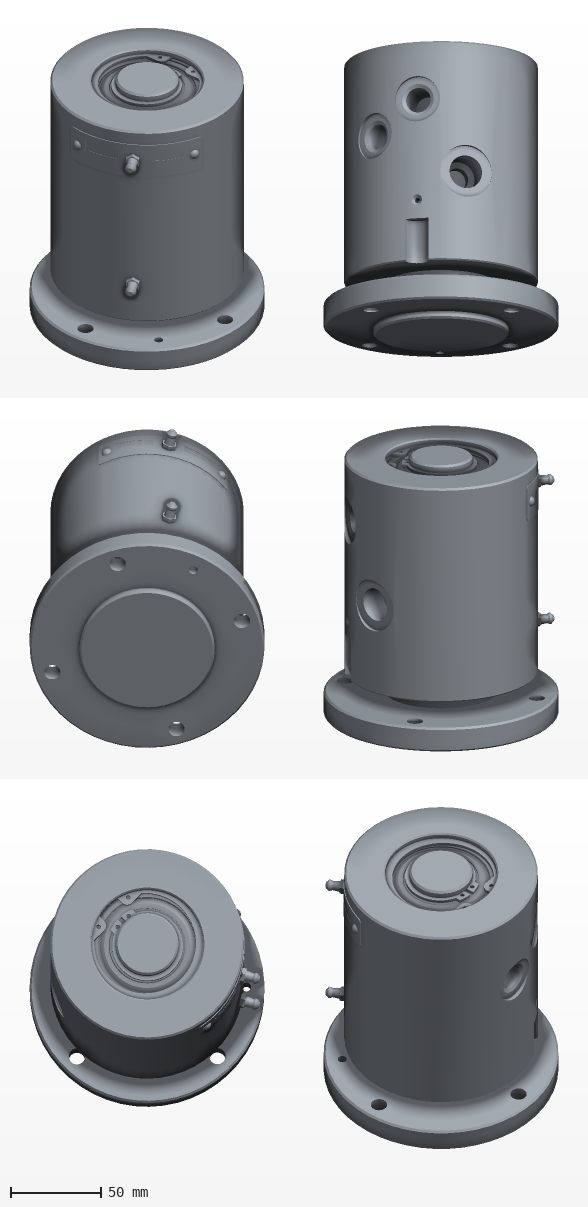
import cadquery as cq
import math

overall_height = 155.4
edge_chamfer = 1.1

pilot_diameter = 74.9
pilot_height = 4.0
flange_diameter = 130.0
flange_thickness = 14.0
flange_top = pilot_height + flange_thickness
bolt_circle_radius = 55.0
bolt_hole_diameter = 9.0
bolt_hole_count = 4
dowel_hole_diameter = 5.0
dowel_azimuth = -45.0
hub_diameter = 63.4
shaft_diameter = 57.5
inner_race_diameter = 42.3
shaft_end_diameter = 34.8
shaft_groove_diameter = 33.0

housing_diameter = 107.2
housing_radius = housing_diameter / 2
housing_bottom = 29.2
housing_top = 154.5
bottom_chamfer = 0.8
recess_diameter = 62.0
recess_chamfer = 0.8
race_inner_diameter = 54.0
seal_outer_diameter = 52.2
seal_land_diameter = 47.5
seal_drop = 1.2
race_rim_chamfer = 1.2
race_edge_chamfer = 0.5
race_top = 149.2
bearing_bottom = 135.2

ring_thickness = 1.9
ring_hole_diameter = 2.5
outer_ring_diameter = 65.0
outer_ring_bore = 56.4
outer_ring_offset = 1.5
outer_lug_edge = 22.7
outer_lug_reach = 20.2
outer_gap_half = 7.1
outer_lug_fillet = 3.9
outer_hole_x = 11.7
outer_hole_y = 26.3
inner_ring_diameter = 39.2
inner_ring_offset = 0.5
inner_lug_half_width = 8.4
inner_lug_radius = 21.8
inner_gap_width = 2.5
inner_hole_x = 4.4
inner_hole_y = 18.6

port_floor_radius = 51.3
small_face_diameter = 25.8
large_face_diameter = 29.5
mouth_port_locations = [(120.0, 121.7), (90.0, 104.0)]
mouth_diameter = 18.0
mouth_bore_diameter = 14.0
mouth_depth = 1.1
threaded_port_azimuth = 150.0
threaded_port_height = 80.5
thread_diameter = 18.6
thread_depth = 15.5
passage_diameter = 12.5
drill_half_angle = 59.0

groove_azimuth = 120.0
groove_diameter = 13.0
groove_top = 53.3
pin_mouth_diameter = 6.0
pin_hole_diameter = 3.0
pin_mouth_depth = 1.5
pin_hole_height = 63.9
pin_hole_depth = 7.8

plate_azimuth = -60.0
plate_height = 135.7
plate_width = 20.7
plate_hole_diameter = 9.0
plate_thickness = 0.5
plate_half_angle = 42.7
plate_corner = 1.9
plate_radius = housing_radius + plate_thickness
field_bottom = 135.7
field_top = 141.0
field_depth = 0.2
field_inner_angle = 9.3
field_outer_angle = 31.0
rivet_angle = 37.3
rivet_diameter = 5.7
rivet_height = 1.9

lower_nipple_height = 54.2
nipple_hex_diameter = 8.4
nipple_hex_height = 2.6
nipple_root_radius = 3.1
nipple_neck_radius = 2.5
nipple_neck_end = 7.0
nipple_head_radius = 3.1
nipple_head_start = 8.1
nipple_head_end = 9.2
nipple_tip_radius = 1.48
nipple_length = 10.9

embed = 1.5


def radial_plane(azimuth, radius, height):
    """Plane facing outward from the Z axis, with its local Y pointing up."""
    angle = math.radians(azimuth)
    outward = (math.cos(angle), math.sin(angle), 0)
    tangent = (-math.sin(angle), math.cos(angle), 0)
    origin = (radius * outward[0], radius * outward[1], height)
    return cq.Plane(origin=origin, xDir=tangent, normal=outward)


def disc(diameter, bottom, top):
    return cq.Workplane("XY", origin=(0, 0, bottom)).circle(diameter / 2).extrude(top - bottom)


def sector(inner_radius, outer_radius, bottom, top, start_angle, end_angle):
    """Part of a tube between two azimuths."""
    return (
        cq.Workplane("XZ")
        .moveTo(inner_radius, bottom)
        .lineTo(outer_radius, bottom)
        .lineTo(outer_radius, top)
        .lineTo(inner_radius, top)
        .close()
        .revolve(end_angle - start_angle, (0, 0, 0), (0, 1, 0))
        .rotate((0, 0, 0), (0, 0, 1), start_angle)
    )


def outer_retaining_ring():
    """Internal ring, narrowing toward two lugs at +Y."""
    base = cq.Workplane("XY", origin=(0, 0, race_top))
    outer_radius = outer_ring_diameter / 2
    blank = base.circle(outer_radius).extrude(ring_thickness)
    bore = base.center(0, outer_ring_offset).circle(outer_ring_bore / 2).extrude(ring_thickness)
    lug_length = outer_lug_reach - outer_gap_half
    lug_height = outer_radius - outer_lug_edge
    gap = (
        base.center(0, outer_radius)
        .rect(2 * outer_gap_half, 2 * lug_height)
        .extrude(ring_thickness)
    )
    ring = blank.cut(bore).cut(gap)
    for side in (-1, 1):
        lug = (
            base.center(side * (outer_gap_half + lug_length / 2), outer_lug_edge + lug_height / 2)
            .rect(lug_length, lug_height)
            .extrude(ring_thickness)
        )
        inner_edge = "|Z and <Y and >X" if side < 0 else "|Z and <Y and <X"
        lug = lug.edges(inner_edge).fillet(outer_lug_fillet)
        ring = ring.union(lug.intersect(blank))
    holes = (
        base.pushPoints([(-outer_hole_x, outer_hole_y), (outer_hole_x, outer_hole_y)])
        .circle(ring_hole_diameter / 2)
        .extrude(ring_thickness)
    )
    return ring.cut(holes)


def inner_retaining_ring():
    """External ring, narrowing toward two lugs at +Y."""
    base = cq.Workplane("XY", origin=(0, 0, race_top))
    ring = base.center(0, -inner_ring_offset).circle(inner_ring_diameter / 2).extrude(ring_thickness)
    lugs = (
        base.center(0, inner_lug_radius / 2)
        .rect(2 * inner_lug_half_width, inner_lug_radius)
        .extrude(ring_thickness)
        .intersect(base.circle(inner_lug_radius).extrude(ring_thickness))
    )
    gap = (
        base.center(0, inner_lug_radius / 2)
        .rect(inner_gap_width, inner_lug_radius)
        .extrude(ring_thickness)
    )
    holes = (
        base.pushPoints([(-inner_hole_x, inner_hole_y), (inner_hole_x, inner_hole_y)])
        .circle(ring_hole_diameter / 2)
        .extrude(ring_thickness)
    )
    bore = base.circle(shaft_groove_diameter / 2).extrude(ring_thickness)
    return ring.union(lugs).cut(bore).cut(gap).cut(holes)


def make_rotor():
    pilot = disc(pilot_diameter, 0, pilot_height).faces("<Z").edges().chamfer(edge_chamfer)
    flange = disc(flange_diameter, pilot_height, flange_top).edges().chamfer(edge_chamfer)
    hub = disc(hub_diameter, flange_top, housing_bottom).faces(">Z").edges().chamfer(edge_chamfer)
    shaft = disc(shaft_diameter, housing_bottom, bearing_bottom)
    inner_race = disc(inner_race_diameter, bearing_bottom, race_top)
    inner_race = inner_race.faces(">Z").edges().chamfer(race_edge_chamfer)
    shaft_end = disc(shaft_end_diameter, race_top, overall_height).faces(">Z").edges().chamfer(edge_chamfer)
    groove = disc(shaft_end_diameter, race_top, race_top + ring_thickness)
    groove = groove.cut(disc(shaft_groove_diameter, race_top, race_top + ring_thickness))
    shaft_end = shaft_end.cut(groove)
    bolt_holes = (
        cq.Workplane("XY")
        .polarArray(bolt_circle_radius, 0, 360, bolt_hole_count)
        .circle(bolt_hole_diameter / 2)
        .extrude(flange_top)
    )
    dowel_hole = (
        cq.Workplane("XY")
        .polarArray(bolt_circle_radius, dowel_azimuth, 360, 1)
        .circle(dowel_hole_diameter / 2)
        .extrude(flange_top)
    )
    rotor = pilot.union(flange).union(hub).union(shaft).union(inner_race).union(shaft_end)
    return rotor.union(inner_retaining_ring()).cut(bolt_holes).cut(dowel_hole)


def housing_shell():
    """Revolved housing with the bearing's outer race and seal at the top."""
    recess_radius = recess_diameter / 2
    seal_low = race_top - seal_drop
    ring_top = race_top + ring_thickness
    profile = [
        (shaft_diameter / 2, housing_bottom),
        (housing_radius - bottom_chamfer, housing_bottom),
        (housing_radius, housing_bottom + bottom_chamfer),
        (housing_radius, housing_top - edge_chamfer),
        (housing_radius - edge_chamfer, housing_top),
        (recess_radius + recess_chamfer, housing_top),
        (recess_radius, housing_top - recess_chamfer),
        (recess_radius, ring_top),
        (outer_ring_diameter / 2, ring_top),
        (outer_ring_diameter / 2, race_top),
        (recess_radius, race_top),
        (recess_radius, race_top - race_rim_chamfer),
        (recess_radius - race_rim_chamfer, race_top),
        (race_inner_diameter / 2 + race_edge_chamfer, race_top),
        (race_inner_diameter / 2, race_top - race_edge_chamfer),
        (race_inner_diameter / 2, seal_low),
        (seal_outer_diameter / 2, seal_low),
        (seal_land_diameter / 2, race_top),
        (inner_race_diameter / 2, race_top),
        (inner_race_diameter / 2, bearing_bottom),
        (shaft_diameter / 2, bearing_bottom),
    ]
    return cq.Workplane("XZ").polyline(profile).close().revolve(360, (0, 0, 0), (0, 1, 0))


def spot_face(plane, diameter):
    return cq.Workplane(plane).circle(diameter / 2).extrude(housing_radius)


def revolved_bore(plane, profile):
    """Solid of revolution about the plane's normal, from (radius, inward depth) points."""
    section = cq.Plane(origin=plane.origin, xDir=plane.xDir, normal=-plane.yDir)
    points = [(radius, -depth) for radius, depth in profile]
    return cq.Workplane(section).polyline(points).close().revolve(360, (0, 0, 0), (0, 1, 0))


def mouth_port(azimuth, height):
    """Straight port with a conical mouth, opening into the housing bore."""
    plane = radial_plane(azimuth, port_floor_radius, height)
    profile = [
        (0, 0),
        (mouth_diameter / 2, 0),
        (mouth_bore_diameter / 2, mouth_depth),
        (mouth_bore_diameter / 2, port_floor_radius),
        (0, port_floor_radius),
    ]
    return spot_face(plane, small_face_diameter).union(revolved_bore(plane, profile))


def threaded_port(azimuth, height):
    """Deep port with a drill-point cone leading to a smaller passage."""
    plane = radial_plane(azimuth, port_floor_radius, height)
    cone_depth = (thread_diameter - passage_diameter) / 2 / math.tan(math.radians(drill_half_angle))
    profile = [
        (0, 0),
        (thread_diameter / 2, 0),
        (thread_diameter / 2, thread_depth),
        (passage_diameter / 2, thread_depth + cone_depth),
        (passage_diameter / 2, port_floor_radius),
        (0, port_floor_radius),
    ]
    return spot_face(plane, large_face_diameter).union(revolved_bore(plane, profile))


def anti_rotation_groove():
    return (
        cq.Workplane("XY", origin=(0, 0, housing_bottom))
        .polarArray(housing_radius, groove_azimuth, 360, 1)
        .circle(groove_diameter / 2)
        .extrude(groove_top - housing_bottom)
    )


def pin_hole():
    """Blind hole with a conical mouth."""
    profile = [
        (0, 0),
        (pin_mouth_diameter / 2, 0),
        (pin_hole_diameter / 2, pin_mouth_depth),
        (pin_hole_diameter / 2, pin_hole_depth),
        (0, pin_hole_depth),
    ]
    return revolved_bore(radial_plane(groove_azimuth, housing_radius, pin_hole_height), profile)


def nameplate():
    """Curved plate with rounded corners, two sunken fields, a nipple hole and two domed rivets."""
    inner_radius = housing_radius - embed
    bottom = plate_height - plate_width / 2
    top = plate_height + plate_width / 2
    start = plate_azimuth - plate_half_angle
    end = plate_azimuth + plate_half_angle
    plate = sector(inner_radius, plate_radius, bottom, top, start, end)
    plate = plate.edges("%LINE and (not |Z)").fillet(plate_corner)
    floor_radius = plate_radius - field_depth
    for first, last in (
        (-field_outer_angle, -field_inner_angle),
        (field_inner_angle, field_outer_angle),
    ):
        field = sector(
            floor_radius, plate_radius + embed, field_bottom, field_top,
            plate_azimuth + first, plate_azimuth + last,
        )
        plate = plate.cut(field)
    hole_plane = radial_plane(plate_azimuth, housing_radius, plate_height)
    plate = plate.cut(cq.Workplane(hole_plane).circle(plate_hole_diameter / 2).extrude(embed))
    for angle in (-rivet_angle, rivet_angle):
        plate = plate.union(rivet(plate_azimuth + angle))
    return plate


def rivet(azimuth):
    """Rivet whose domed head stands on the nameplate."""
    head_radius = rivet_diameter / 2
    dome_radius = (head_radius**2 + rivet_height**2) / (2 * rivet_height)
    dome_center = plate_radius + rivet_height - dome_radius
    plane = radial_plane(azimuth, dome_center, plate_height)
    dome = cq.Workplane(plane).sphere(dome_radius)
    stem = (
        cq.Workplane(radial_plane(azimuth, plate_radius - embed, plate_height))
        .circle(head_radius)
        .extrude(rivet_height + embed)
    )
    return dome.intersect(stem)


def grease_nipple(height):
    """Nipple on a hexagonal base with one corner pointing up."""
    plane = radial_plane(plate_azimuth, housing_radius, height)
    hexagon = (
        cq.Workplane(plane.rotated((0, 0, 90)))
        .workplane(offset=-embed)
        .polygon(6, nipple_hex_diameter)
        .extrude(embed + nipple_hex_height)
    )
    profile = [
        (0, 0),
        (nipple_root_radius, 0),
        (nipple_root_radius, -nipple_hex_height),
        (nipple_neck_radius, -nipple_neck_end),
        (nipple_head_radius, -nipple_head_start),
        (nipple_head_radius, -nipple_head_end),
        (nipple_tip_radius, -nipple_length),
        (0, -nipple_length),
    ]
    return hexagon.union(revolved_bore(plane, profile))


def make_housing():
    housing = housing_shell().union(outer_retaining_ring())
    for azimuth, height in mouth_port_locations:
        housing = housing.cut(mouth_port(azimuth, height))
    housing = housing.cut(threaded_port(threaded_port_azimuth, threaded_port_height))
    housing = housing.cut(anti_rotation_groove()).cut(pin_hole())
    housing = housing.union(nameplate())
    for height in (plate_height, lower_nipple_height):
        housing = housing.union(grease_nipple(height))
    return housing


rotor = make_rotor()
housing = make_housing()
result = cq.Compound.makeCompound([rotor.solids().val(), housing.solids().val()])